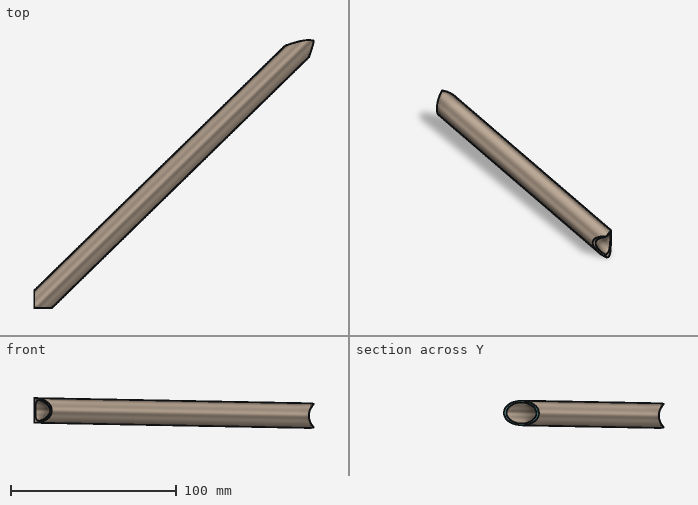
import cadquery as cq
import math

outer_diameter = 15.0
outer_radius = outer_diameter / 2
wall = 1.4
inner_radius = outer_radius - wall
axis_run_x = 168.8
axis_run_y = 164.8
axis_drop = 3.2
overrun = 33.8

nose_setback = 4.2
rim_margin = 0.2
points_per_side = 25

saddle_radius = 10.0
saddle_edge_x = 165.8
saddle_edge_y = 158.2
saddle_half_length = 101.3

run = math.hypot(axis_run_x, axis_run_y)
length = math.hypot(run, axis_drop)
direction = cq.Vector(axis_run_x, axis_run_y, -axis_drop) / length
forward = cq.Vector(axis_run_x, axis_run_y, 0) / run
sideways = cq.Vector(-axis_run_y, axis_run_x, 0) / run


def rod(radius):
    """Cylinder about the sloping tube axis, longer than the finished tube."""
    return cq.Workplane(
        cq.Solid.makeCylinder(radius, length + 2 * overrun, direction * -overrun, direction)
    )


def edge_point(radius, angle, setback):
    """Point at an angle around the tube (0 = top), a plan distance behind the tip."""
    height = radius * math.cos(angle) - setback * axis_drop / run
    return forward * setback + sideways * (radius * math.sin(angle)) + cq.Vector(0, 0, height)


def outer_edge_point(angle, side):
    """Outer edge lies on the plane X = 0 on one side and Y = 0 on the other."""
    spread = outer_radius * abs(math.sin(angle))
    slope = axis_run_y / axis_run_x if side > 0 else axis_run_x / axis_run_y
    return edge_point(outer_radius, angle, spread * slope)


def inner_edge_point(angle):
    """Inner edge rounds off the nose and runs square to the wall at the flanks."""
    flank_setback = outer_radius - nose_setback
    setback = nose_setback + flank_setback * math.sin(angle) ** 2
    return edge_point(inner_radius, angle, setback)


def rim_half(side):
    """Ruled rim surface on one side of the tube, from top to bottom."""
    outside = []
    inside = []
    parameters = [i / (points_per_side - 1) for i in range(points_per_side)]
    for parameter in parameters:
        angle = side * math.pi * parameter
        outer_point = outer_edge_point(angle, side)
        inner_point = inner_edge_point(angle)
        margin = (inner_point - outer_point) * rim_margin
        outside.append(outer_point - margin)
        inside.append(inner_point + margin)
    return cq.Face.makeRuledSurface(
        cq.Edge.makeSpline(outside, parameters=parameters),
        cq.Edge.makeSpline(inside, parameters=parameters),
    )


def largest_piece(body):
    return cq.Workplane(max(body.solids().vals(), key=lambda piece: piece.Volume()))


def trim_near_end(body):
    """Cut the tube along the rim surface and keep the long piece."""
    pieces = body.val().split(rim_half(1), rim_half(-1))
    return largest_piece(cq.Workplane(pieces))


def saddle(center, axis):
    """Long horizontal cylinder centred on the given point."""
    start = center - axis * saddle_half_length
    return cq.Workplane(
        cq.Solid.makeCylinder(saddle_radius, 2 * saddle_half_length, start, axis)
    )


def trim_far_end(body):
    """Shape the far end to sit on the two crossing cylinders."""
    center = cq.Vector(
        saddle_edge_x + saddle_radius, saddle_edge_y + saddle_radius, -axis_drop
    )
    body = body.cut(saddle(center, cq.Vector(1, 0, 0)))
    body = body.cut(saddle(center, cq.Vector(0, 1, 0)))
    return largest_piece(body)


tube = rod(outer_radius).cut(rod(inner_radius))
result = trim_far_end(trim_near_end(tube))